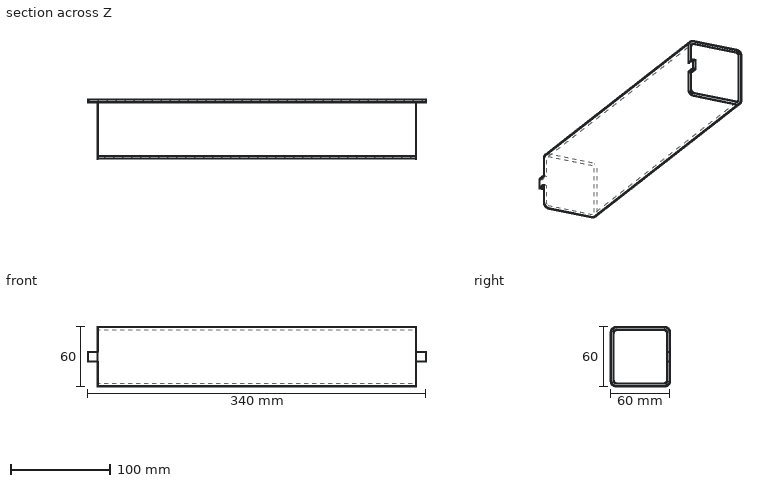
import cadquery as cq

overall_length = 340.0
tube_side = 60.0
wall = 3.0
outer_radius = 6.0
tab_length = 10.0
tab_height = 10.0

tube_length = overall_length - 2 * tab_length
inner_side = tube_side - 2 * wall
inner_radius = outer_radius - wall


def rounded_bar(side, radius):
    """Square bar along X with its four long edges rounded."""
    return cq.Workplane("XY").box(tube_length, side, side).edges("|X").fillet(radius)


tube = rounded_bar(tube_side, outer_radius).cut(rounded_bar(inner_side, inner_radius))

tab_strip = (
    cq.Workplane("XY")
    .box(overall_length, wall, tab_height)
    .translate((0, (tube_side - wall) / 2, 0))
)

result = tube.union(tab_strip)